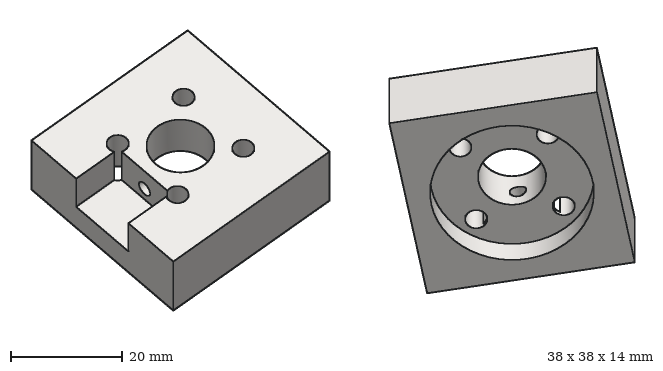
import cadquery as cq

side = 38.0
height = 14.0

bore_diameter = 12.25
bolt_diameter = 4.0
bolt_spacing = 16.0

recess_diameter = 29.5
recess_depth = 5.0

pocket_width = 14.0
pocket_length = 10.25
pocket_depth = 8.0

cross_diameter = 3.0
cross_depth = 5.0

block = cq.Workplane("XY").box(side, side, height, centered=(True, True, False))
block = block.translate((0, 0, -height))

bore = cq.Workplane("XY").circle(bore_diameter / 2).extrude(-height)

bolt_holes = (
    cq.Workplane("XY")
    .rect(bolt_spacing, bolt_spacing, forConstruction=True)
    .vertices()
    .circle(bolt_diameter / 2)
    .extrude(-height)
)

recess = cq.Workplane("XY", origin=(0, 0, -height)).circle(recess_diameter / 2).extrude(recess_depth)

pocket = (
    cq.Workplane("XY")
    .center(0, (pocket_length - side) / 2)
    .rect(pocket_width, pocket_length)
    .extrude(-pocket_depth)
)

cross_hole = (
    cq.Workplane("XZ", origin=(0, 0, -cross_depth))
    .circle(cross_diameter / 2)
    .extrude(side / 2)
)

result = block.cut(bore).cut(bolt_holes).cut(recess).cut(pocket).cut(cross_hole)